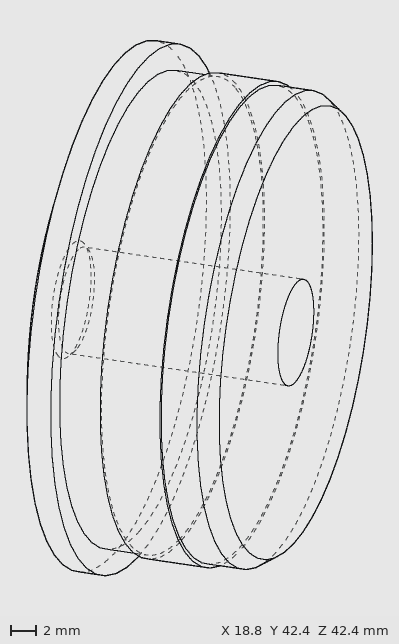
import cadquery as cq

flange_thickness = 2.0
neck_length = 3.5
band_length = 5.0
tail_length = 3.0
end_chamfer_length = 1.5
dome_height = 4.0

flange_diameter = 42.4
body_diameter = 38.2
band_diameter = 38.8
end_diameter = 36.2
bore_diameter = 8.5
bore_chamfer = 0.45

flange_radius = flange_diameter / 2
body_radius = body_diameter / 2
band_radius = band_diameter / 2
end_radius = end_diameter / 2
bore_radius = bore_diameter / 2
bore_mouth_radius = bore_radius + bore_chamfer

flange_back_x = flange_thickness
band_start_x = flange_back_x + neck_length
band_end_x = band_start_x + band_length
chamfer_start_x = band_end_x + tail_length
end_x = chamfer_start_x + end_chamfer_length

dome_radius = (flange_radius**2 + dome_height**2) / (2 * dome_height)
dome_center_x = dome_radius - dome_height


def dome_x(radius):
    """X position of the dome surface at a given distance from the axis."""
    return dome_center_x - (dome_radius**2 - radius**2) ** 0.5


def revolve_about_x(profile):
    """Turn a closed XY profile into a solid of revolution about the X axis."""
    return profile.close().revolve(360, (0, 0, 0), (1, 0, 0))


def make_plug():
    """Domed flange with a stepped cylindrical body behind it."""
    profile = (
        cq.Workplane("XY")
        .moveTo(-dome_height, 0)
        .threePointArc((dome_x(flange_radius / 2), flange_radius / 2), (0, flange_radius))
        .lineTo(flange_back_x, flange_radius)
        .lineTo(flange_back_x, body_radius)
        .lineTo(band_start_x, body_radius)
        .lineTo(band_start_x, band_radius)
        .lineTo(band_end_x, band_radius)
        .lineTo(band_end_x, body_radius)
        .lineTo(chamfer_start_x, body_radius)
        .lineTo(end_x, end_radius)
        .lineTo(end_x, 0)
    )
    return revolve_about_x(profile)


def make_bore():
    """Through bore with a 45 degree chamfer where it meets the dome."""
    mouth_x = dome_x(bore_mouth_radius)
    profile = (
        cq.Workplane("XY")
        .moveTo(-dome_height, 0)
        .lineTo(-dome_height, bore_mouth_radius)
        .lineTo(mouth_x, bore_mouth_radius)
        .lineTo(mouth_x + bore_chamfer, bore_radius)
        .lineTo(end_x, bore_radius)
        .lineTo(end_x, 0)
    )
    return revolve_about_x(profile)


result = make_plug().cut(make_bore())